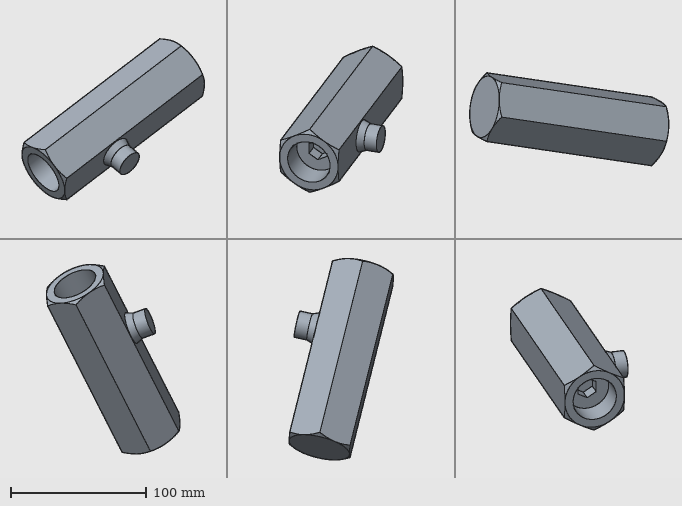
import cadquery as cq
import math

body_length = 143.0
across_flats = 45.9
across_corners = across_flats / math.cos(math.radians(30))
chamfer_angle = 30.0

bore_diameter = 33.3
bore_depth = 20.0
socket_across_flats = 14.0
socket_depth = 10.0

spigot_y = -19.6
spigot_diameter = 20.0
spigot_height = 15.2
collar_diameter = 24.3
collar_height = 5.6

front_y = -body_length / 2


def hexagon_prism(flats, start_y, length):
    """Hexagonal prism along +Y with corners at top and bottom."""
    corners = flats / math.cos(math.radians(30))
    plane = cq.Plane(origin=(0, start_y, 0), xDir=(0, 0, 1), normal=(0, 1, 0))
    return cq.Workplane(plane).polygon(6, corners).extrude(length)


def chamfer_envelope():
    """Turned shape that trims the hexagon corners down to a circle at both ends."""
    end_radius = across_flats / 2
    outer_radius = across_corners / 2 + 1.5
    drop = (outer_radius - end_radius) * math.tan(math.radians(chamfer_angle))
    end_y = body_length / 2
    profile = [
        (0, -end_y),
        (end_radius, -end_y),
        (outer_radius, -end_y + drop),
        (outer_radius, end_y - drop),
        (end_radius, end_y),
        (0, end_y),
    ]
    return cq.Workplane("XY").polyline(profile).close().revolve(360, (0, 0, 0), (0, 1, 0))


def spigot():
    """Round spigot along +X with a conical collar at its foot."""
    flat_x = across_flats / 2
    profile = [
        (flat_x, 0),
        (flat_x, collar_diameter / 2),
        (flat_x + collar_height, spigot_diameter / 2),
        (flat_x + spigot_height, spigot_diameter / 2),
        (flat_x + spigot_height, 0),
    ]
    turned = cq.Workplane("XY").polyline(profile).close().revolve(360, (0, 0, 0), (1, 0, 0))
    return turned.translate((0, spigot_y, 0))


def bore():
    plane = cq.Plane(origin=(0, front_y, 0), xDir=(0, 0, 1), normal=(0, 1, 0))
    return cq.Workplane(plane).circle(bore_diameter / 2).extrude(bore_depth)


body = hexagon_prism(across_flats, front_y, body_length).intersect(chamfer_envelope())
socket = hexagon_prism(socket_across_flats, front_y + bore_depth, socket_depth)
result = body.union(spigot()).cut(bore()).cut(socket)